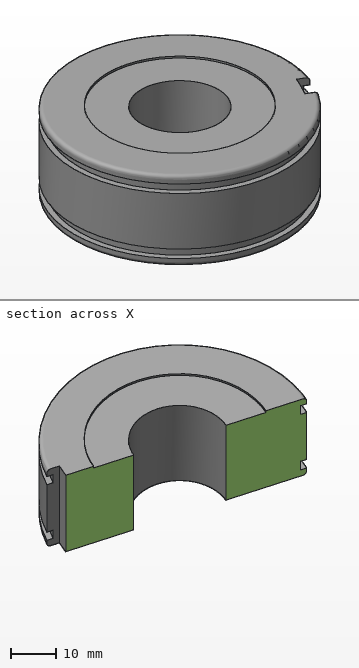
import cadquery as cq

outer_diameter = 62.0
height = 23.0
edge_radius = 1.0
bore_diameter = 22.5

groove_depth = 1.5
groove_width = 2.4
land_height = 2.0

recess_diameter = 42.05
recess_depth = 0.5

keyway_width = 6.5
keyway_depth = 3.2

outer_radius = outer_diameter / 2


def ring_groove(bottom):
    """Ring of material to remove, starting at the given height."""
    return (
        cq.Workplane("XY")
        .workplane(offset=bottom)
        .circle(outer_diameter)
        .circle(outer_radius - groove_depth)
        .extrude(groove_width)
    )


body = cq.Workplane("XY").circle(outer_radius).extrude(height)
body = body.edges().fillet(edge_radius)

for groove_bottom in (land_height, height - land_height - groove_width):
    body = body.cut(ring_groove(groove_bottom))

bore = cq.Workplane("XY").circle(bore_diameter / 2).extrude(height)
recess = (
    cq.Workplane("XY")
    .workplane(offset=height - recess_depth)
    .circle(recess_diameter / 2)
    .extrude(recess_depth)
)

keyway = (
    cq.Workplane("XY")
    .center(0, outer_radius)
    .rect(keyway_width, 2 * keyway_depth)
    .extrude(height)
)

result = body.cut(bore).cut(recess).cut(keyway)